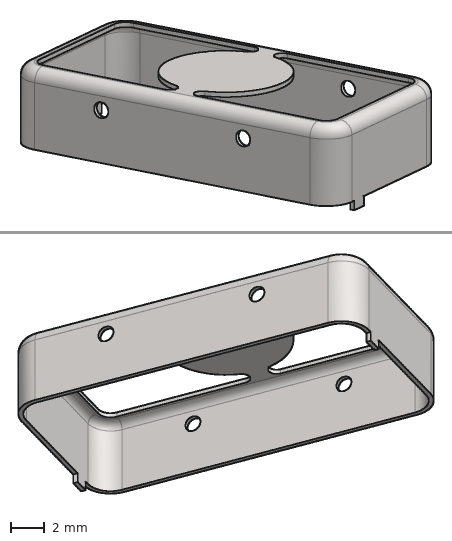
import cadquery as cq
import math

length = 23.0
width = 11.7
body_height = 5.0
wall = 0.3
corner_radius = 1.8
top_round = 0.8

rim_width = 1.0
window_half_width = width / 2 - rim_width

disc_radius = 4.0
relief_radius = 0.5

hole_diameter = 1.0
hole_spacing = 10.0
hole_height = 3.3

foot_height = 0.6
foot_width = 1.05
foot_offset = 3.25


def rounded_block(inset, height):
    """Rounded block whose sides lie a given inset inside the outer walls."""
    return (
        cq.Workplane("XY")
        .rect(length - 2 * inset, width - 2 * inset)
        .extrude(height)
        .edges("|Z")
        .fillet(corner_radius - inset)
    )


def make_shell():
    outer = rounded_block(0, body_height).faces(">Z").edges().fillet(top_round)
    cavity = rounded_block(wall, body_height - wall).faces(">Z").edges().fillet(top_round - wall)
    window = rounded_block(rim_width, body_height)
    return outer.cut(cavity).cut(window)


def make_disc_web():
    """Disc and necks; each relief is tangent to both the disc and the window edge."""
    relief_y = window_half_width - relief_radius
    relief_x = math.sqrt((disc_radius + relief_radius) ** 2 - relief_y**2)
    neck_end = width / 2 - top_round
    plane = cq.Workplane("XY").workplane(offset=body_height - wall)
    web = plane.circle(disc_radius).extrude(wall)
    for side in (-1, 1):
        neck_outline = [
            (0, 0),
            (relief_x, side * relief_y),
            (relief_x, side * neck_end),
            (-relief_x, side * neck_end),
            (-relief_x, side * relief_y),
        ]
        web = web.union(plane.polyline(neck_outline).close().extrude(wall))
    reliefs = plane.rect(2 * relief_x, 2 * relief_y, forConstruction=True).vertices()
    return web.cut(reliefs.circle(relief_radius).extrude(wall))


def make_cross_holes():
    return (
        cq.Workplane("XZ")
        .pushPoints([(side * hole_spacing / 2, hole_height) for side in (-1, 1)])
        .circle(hole_diameter / 2)
        .extrude(width, both=True)
    )


def make_foot(side):
    """Foot continuing the end wall downward; it overlaps the wall by one wall thickness."""
    return (
        cq.Workplane("XY")
        .box(wall, foot_width, foot_height + wall, centered=(True, True, False))
        .translate((side * (length - wall) / 2, -side * foot_offset, -foot_height))
    )


result = make_shell().union(make_disc_web()).cut(make_cross_holes())
for end in (-1, 1):
    result = result.union(make_foot(end))